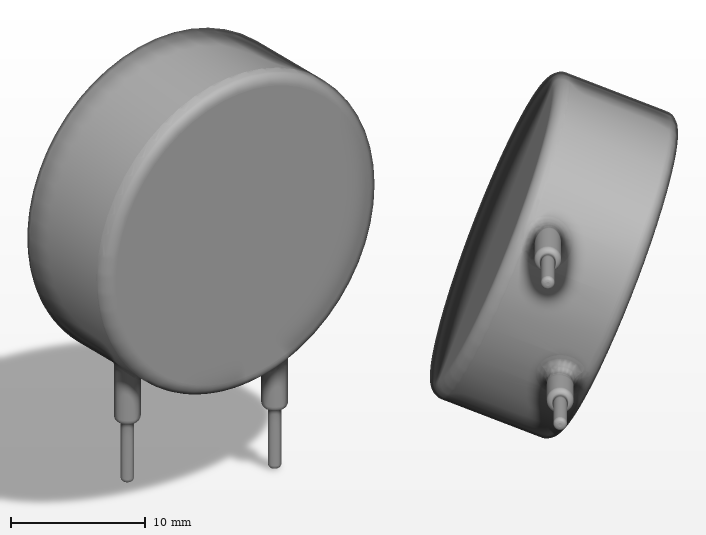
import cadquery as cq

total_height = 35.05
disc_diameter = 26.0
disc_thickness = 10.0
rim_radius = 1.0

lead_offset_x = 2.52
lead_offset_y = 4.98
lead_places = [
    (-lead_offset_x, -lead_offset_y),
    (lead_offset_x, lead_offset_y),
]

sleeve_diameter = 2.0
sleeve_drop = 4.0
sleeve_blend_radius = 0.98

lead_diameter = 1.0
lead_tip_radius = 0.35

sleeve_end_radius = (sleeve_diameter - lead_diameter) / 2

disc_radius = disc_diameter / 2
sleeve_bottom = -disc_radius - sleeve_drop
lead_bottom = disc_radius - total_height


def make_disc():
    """Round-edged disc with its axis along X."""
    return (
        cq.Workplane("YZ")
        .circle(disc_radius)
        .extrude(disc_thickness / 2, both=True)
        .edges("%CIRCLE")
        .fillet(rim_radius)
    )


def make_sleeve(x, y):
    """Sleeve with a rounded lower end, reaching up into the disc."""
    return (
        cq.Workplane("XY", origin=(x, y, sleeve_bottom))
        .circle(sleeve_diameter / 2)
        .extrude(-sleeve_bottom - disc_radius / 2)
        .faces("<Z")
        .edges()
        .fillet(sleeve_end_radius)
    )


def blend_sleeve(coating, x, y):
    """Fillet the edges where the sleeve at (x, y) meets the disc."""
    reach = sleeve_diameter / 2 + sleeve_blend_radius / 10
    junction = cq.selectors.BoxSelector(
        (x - reach, y - reach, -disc_radius - sleeve_blend_radius / 2),
        (x + reach, y + reach, -disc_radius / 2),
        boundingbox=True,
    )
    return coating.edges(junction).fillet(sleeve_blend_radius)


def make_coating():
    """Disc and both sleeves as one body, blended together."""
    coating = make_disc()
    for x, y in lead_places:
        coating = coating.union(make_sleeve(x, y))
    for x, y in lead_places:
        coating = blend_sleeve(coating, x, y)
    return coating


def make_lead(x, y):
    """Bare lead that starts at the sleeve end and has a rounded tip."""
    return (
        cq.Workplane("XY", origin=(x, y, lead_bottom))
        .circle(lead_diameter / 2)
        .extrude(sleeve_bottom - lead_bottom)
        .faces("<Z")
        .edges()
        .fillet(lead_tip_radius)
    )


coating = make_coating()
leads = [make_lead(x, y).val() for x, y in lead_places]

result = cq.Compound.makeCompound([coating.solids().val(), *leads])